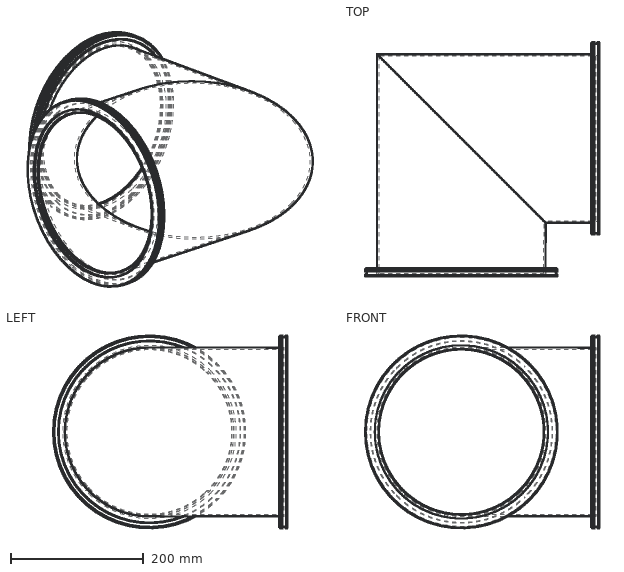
import cadquery as cq

OVERALL = 353.0
FLANGE_DIAMETER = 290.0
LEG_LENGTH = OVERALL - FLANGE_DIAMETER / 2

PIPE_OUTER_DIAMETER = 254.0
PIPE_INNER_DIAMETER = 248.0

FLANGE_THICKNESS = 13.0
BORE_DIAMETER = 250.0
SOCKET_DIAMETER = 255.0
SEAL_RECESS_DIAMETER = 261.0
SEAL_RECESS_DEPTH = 3.0
LIP_THICKNESS = 2.0
SOCKET_DEPTH = FLANGE_THICKNESS - SEAL_RECESS_DEPTH - LIP_THICKNESS
HUB_BASE_DIAMETER = 275.0
HUB_HEIGHT = 0.5
HUB_EDGE_WIDTH = 1.0
GROOVE_DIAMETER = 285.0
GROOVE_START = 5.5
GROOVE_WIDTH = 5.0
REAR_CHAMFER = 2.0
FRONT_CHAMFER = 1.0

PIPE_END = LEG_LENGTH - FLANGE_THICKNESS + SOCKET_DEPTH
MITRE_NORMAL = cq.Vector(1, 1, 0)
MITRE_REACH = 2 * LEG_LENGTH


def make_pipe():
    """Pipe along +X, cut at 45 degrees on the plane y = -x through the origin."""
    blank_start = -PIPE_OUTER_DIAMETER
    blank = (
        cq.Workplane("YZ", origin=(blank_start, 0, 0))
        .circle(PIPE_OUTER_DIAMETER / 2)
        .circle(PIPE_INNER_DIAMETER / 2)
        .extrude(PIPE_END - blank_start)
    )
    kept_side = (
        cq.Workplane("XY", origin=(0, 0, -PIPE_OUTER_DIAMETER))
        .polyline([
            (-MITRE_REACH, MITRE_REACH),
            (MITRE_REACH, MITRE_REACH),
            (MITRE_REACH, -MITRE_REACH),
        ])
        .close()
        .extrude(2 * PIPE_OUTER_DIAMETER)
    )
    return blank.intersect(kept_side)


def make_flange():
    """Clamp flange around the X axis: its half section revolved a full turn."""
    rim = FLANGE_DIAMETER / 2
    groove = GROOVE_DIAMETER / 2
    rear = LEG_LENGTH - FLANGE_THICKNESS
    front = LEG_LENGTH
    socket_floor = rear + SOCKET_DEPTH
    recess_floor = front - SEAL_RECESS_DEPTH
    rim_rear = rear + HUB_HEIGHT
    hub_base = HUB_BASE_DIAMETER / 2
    groove_rear = rear + GROOVE_START
    groove_front = groove_rear + GROOVE_WIDTH
    groove_depth = rim - groove
    groove_radius = (GROOVE_WIDTH**2 + groove_depth**2) / (2 * groove_depth)

    section = (
        cq.Workplane("XY")
        .moveTo(rear, SOCKET_DIAMETER / 2)
        .lineTo(rear, hub_base - HUB_EDGE_WIDTH)
        .lineTo(rim_rear, hub_base)
        .lineTo(rim_rear, rim - REAR_CHAMFER)
        .lineTo(rim_rear + REAR_CHAMFER, rim)
        .lineTo(groove_rear, rim)
        .lineTo(groove_rear, groove)
        .radiusArc((groove_front, rim), -groove_radius)
        .lineTo(front - FRONT_CHAMFER, rim)
        .lineTo(front, rim - FRONT_CHAMFER)
        .lineTo(front, SEAL_RECESS_DIAMETER / 2)
        .lineTo(recess_floor, SEAL_RECESS_DIAMETER / 2)
        .lineTo(recess_floor, BORE_DIAMETER / 2)
        .lineTo(socket_floor, BORE_DIAMETER / 2)
        .lineTo(socket_floor, SOCKET_DIAMETER / 2)
        .close()
    )
    return section.revolve(360, (0, 0, 0), (1, 0, 0))


def both_legs(body):
    """The body on the +X leg and its mirror image on the -Y leg."""
    opposite = body.mirror(MITRE_NORMAL)
    return [body.val(), opposite.val()]


pipes = both_legs(make_pipe())
flanges = both_legs(make_flange())
result = cq.Compound.makeCompound([*pipes, *flanges])